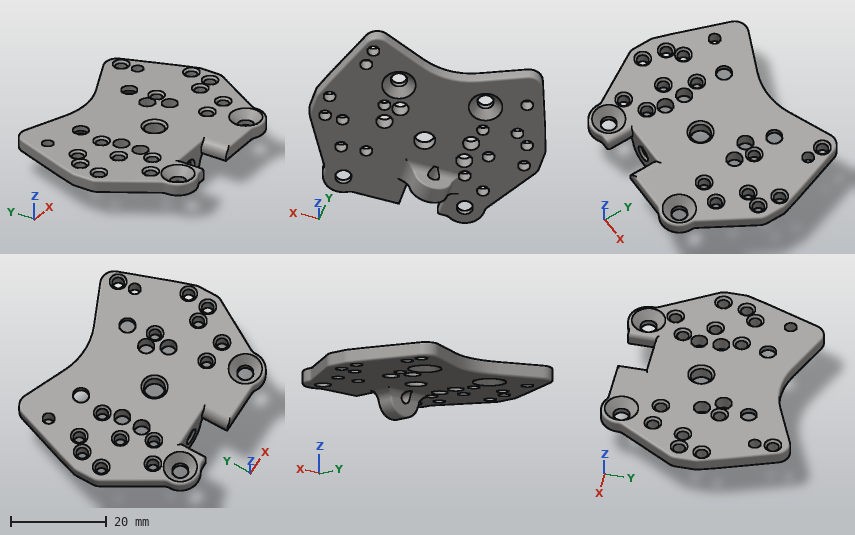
import cadquery as cq
import math


thickness = 3.0
half_width = 25.05
lower_shoulder_y = -0.8
upper_shoulder_y = 4.4
waist = (23.6, 8.8)
horn_tip = (18.3, 23.55)
notch_valley_y = 15.7
front_y = -17.6
shoulder_lower_radius = 3.2
shoulder_upper_radius = 2.5
waist_arc_reach = 0.45
horn_radius = 3.0
notch_radius = 15.05
edge_radius = 0.5

boss_x = 13.3
boss_y = -14.15
boss_radius = 4.3
boss_blend_radius = 2.0
flank_foot_x = 17.15
screw_diameter = 3.4
screw_head_diameter = 7.0

slot_left = -8.3
slot_right = 0.0
slot_back = -11.5
slot_left_radius = 1.0
slot_right_radius = 2.0
slot_back_radius = 0.5

lug_x = -4.3
lug_z = -4.1
lug_radius = 4.15
lug_thickness = 4.0
lug_flare_radius = 2.5
lug_back_blend_radius = 1.6
lug_edge_radius = 0.35
lug_hole_diameter = 2.4
lug_hole_mouth_diameter = 3.55
lug_hole_reach = lug_thickness + lug_back_blend_radius
lug_overlap = 0.5

small_diameter = 2.5
small_mouth_diameter = 3.55
medium_diameter = 3.4
center_diameter = 4.4
center_mouth_diameter = 5.5

small_plain_points = [(-17.6, 15.25), (17.6, 15.25)]
underside_screw_points = [(-9.45, 12.2), (9.45, 12.2)]
medium_points = [(7.3, 6.35), (-9.45, 2.2), (9.45, 2.2), (-9.45, -2.5)]
countersunk_points = [
    (-17.9, 7.6), (-10.8, 6.25), (10.8, 6.25), (-21.75, 0), (-14.0, 0),
    (17.95, 0), (21.75, 0), (-10.8, -6.25), (10.8, -6.25), (16.1, -6.8),
    (17.25, 19.05), (-20.75, 5.2), (22.35, 4.95), (-15.6, -8.85),
]
boss_points = [(-boss_x, boss_y), (boss_x, boss_y)]

tolerance = 0.05
clearance = 0.5
far = 50.15


def step_toward(start, target, distance):
    """Point at a distance from start along the line to target."""
    dx = target[0] - start[0]
    dy = target[1] - start[1]
    share = distance / math.hypot(dx, dy)
    return (start[0] + share * dx, start[1] + share * dy)


def round_upright(body, x, y, radius):
    """Fillet the upright edge nearest to (x, y)."""
    nearest = cq.selectors.NearestToPointSelector((x, y, -thickness / 2))
    return body.edges("|Z").edges(nearest).fillet(radius)


def make_blank():
    """Plate outline with its bosses and rounded upright corners, edges still sharp."""
    upper_shoulder = (half_width, upper_shoulder_y)
    right_half = (
        cq.Workplane("XY")
        .moveTo(0, front_y)
        .lineTo(boss_x, front_y)
        .lineTo(flank_foot_x, boss_y)
        .lineTo(half_width, lower_shoulder_y)
        .lineTo(*upper_shoulder)
        .lineTo(*step_toward(waist, upper_shoulder, waist_arc_reach))
        .tangentArcPoint(step_toward(waist, horn_tip, waist_arc_reach), relative=False)
        .lineTo(*horn_tip)
        .lineTo(0, notch_valley_y)
        .close()
        .extrude(-thickness)
    )
    boss = cq.Workplane("XY").circle(boss_radius).extrude(-thickness).rotate((0, 0, 0), (0, 0, 1), 90)
    right_half = right_half.union(boss.translate((boss_x, boss_y, 0)))

    front_blend_x = boss_x - math.sqrt(boss_radius**2 - (boss_y - front_y) ** 2)
    corners = [
        (half_width, lower_shoulder_y, shoulder_lower_radius),
        (half_width, upper_shoulder_y, shoulder_upper_radius),
        (*horn_tip, horn_radius),
        (boss_x + boss_radius, boss_y, boss_blend_radius),
        (front_blend_x, front_y, boss_blend_radius),
    ]
    for x, y, radius in corners:
        right_half = round_upright(right_half, x, y, radius)
    body = right_half.union(right_half.mirror("YZ"))
    return round_upright(body, 0, notch_valley_y, notch_radius)


def make_slot_cutter():
    """Slot volume that flares outward at the top, leaving rounded upper edges."""
    across = (
        cq.Workplane("XZ")
        .moveTo(slot_left, -thickness - clearance)
        .lineTo(slot_left, -slot_left_radius)
        .radiusArc((slot_left - slot_left_radius, 0), -slot_left_radius)
        .lineTo(slot_left - slot_left_radius, clearance)
        .lineTo(slot_right + slot_right_radius, clearance)
        .lineTo(slot_right + slot_right_radius, 0)
        .radiusArc((slot_right, -slot_right_radius), -slot_right_radius)
        .lineTo(slot_right, -thickness - clearance)
        .close()
        .extrude(far, both=True)
    )
    along = (
        cq.Workplane("YZ")
        .moveTo(front_y - clearance, -thickness - clearance)
        .lineTo(slot_back, -thickness - clearance)
        .lineTo(slot_back, -slot_back_radius)
        .radiusArc((slot_back + slot_back_radius, 0), slot_back_radius)
        .lineTo(slot_back + slot_back_radius, clearance)
        .lineTo(front_y - clearance, clearance)
        .close()
        .extrude(far, both=True)
    )
    return across.intersect(along)


def round_plate_edges(body):
    """Fillet the outline and the slot's left front corner; the slot's upper edges are left as cut."""
    slot_mouth = cq.selectors.BoxSelector(
        (slot_left - slot_left_radius - tolerance, front_y + tolerance, -tolerance),
        (slot_right + slot_right_radius + tolerance, slot_back + slot_back_radius + tolerance, tolerance),
    )
    left_front_corner = cq.selectors.BoxSelector(
        (slot_left - slot_left_radius, front_y - tolerance, -thickness + tolerance),
        (slot_left + tolerance, front_y + tolerance, -tolerance),
    )
    rims = cq.selectors.StringSyntaxSelector("#Z and (>Z or <Z)")
    return body.edges(rims - slot_mouth + left_front_corner).fillet(edge_radius)


def make_lug():
    """Round lug flaring into the plate's underside at both sides and at the back."""
    top_z = lug_overlap - thickness
    blend_reach = lug_radius + lug_flare_radius
    flare_center_z = -thickness - lug_flare_radius
    flare_offset = math.sqrt(blend_reach**2 - (lug_z - flare_center_z) ** 2)
    tangent_x = flare_offset * lug_radius / blend_reach
    tangent_z = lug_z + (flare_center_z - lug_z) * lug_radius / blend_reach
    across = (
        cq.Workplane("XZ")
        .moveTo(lug_x - flare_offset, top_z)
        .lineTo(lug_x - flare_offset, -thickness)
        .radiusArc((lug_x - tangent_x, tangent_z), lug_flare_radius)
        .threePointArc((lug_x, lug_z - lug_radius), (lug_x + tangent_x, tangent_z))
        .radiusArc((lug_x + flare_offset, -thickness), lug_flare_radius)
        .lineTo(lug_x + flare_offset, top_z)
        .close()
        .extrude(far, both=True)
    )
    lug_back = slot_back + lug_thickness
    along = (
        cq.Workplane("YZ")
        .moveTo(slot_back, top_z)
        .lineTo(slot_back, -far)
        .lineTo(lug_back, -far)
        .lineTo(lug_back, -thickness - lug_back_blend_radius)
        .radiusArc((lug_back + lug_back_blend_radius, -thickness), lug_back_blend_radius)
        .lineTo(lug_back + lug_back_blend_radius, top_z)
        .close()
        .extrude(far, both=True)
    )
    lug = across.intersect(along)
    for face_y in (slot_back, lug_back):
        rim = cq.selectors.NearestToPointSelector((lug_x, face_y, lug_z - lug_radius))
        lug = lug.edges(rim).fillet(lug_edge_radius)
    return lug


def drill(body, points, diameter):
    """Straight holes through the plate and anything just below it."""
    bore = cq.Workplane("XY").circle(diameter / 2).extrude(-thickness - clearance)
    for x, y in points:
        body = body.cut(bore.translate((x, y, 0)))
    return body


def countersink(body, points, diameter, mouth_diameter, from_below=False):
    """Straight holes with a 90 degree countersink at the top or the underside."""
    depth = (mouth_diameter - diameter) / 2
    cone = cq.Workplane("XY").circle(mouth_diameter / 2).extrude(-depth, taper=45)
    if from_below:
        cone = cone.mirror("XY").translate((0, 0, -thickness))
    body = drill(body, points, diameter)
    for x, y in points:
        body = body.cut(cone.translate((x, y, 0)))
    return body


def drill_lug(body):
    """Cross hole through the lug, countersunk on its front face."""
    sink_depth = (lug_hole_mouth_diameter - lug_hole_diameter) / 2
    front = cq.Workplane("XZ", origin=(lug_x, slot_back, lug_z))
    hole = front.circle(lug_hole_diameter / 2).extrude(-lug_hole_reach)
    sink = front.circle(lug_hole_mouth_diameter / 2).extrude(-sink_depth, taper=45)
    return body.cut(hole).cut(sink)


slot_cutter = make_slot_cutter()
left_of_slot_wall = cq.Workplane("XY").box(far, far, far).translate((slot_right - far / 2, 0, 0))
plate = make_blank().cut(slot_cutter.intersect(left_of_slot_wall))
plate = round_plate_edges(plate)
plate = plate.cut(slot_cutter)
plate = plate.union(make_lug())
plate = drill_lug(plate)
plate = drill(plate, small_plain_points, small_diameter)
plate = drill(plate, medium_points, medium_diameter)
plate = countersink(plate, [(0, 0)], center_diameter, center_mouth_diameter)
plate = countersink(plate, countersunk_points, small_diameter, small_mouth_diameter)
plate = countersink(plate, underside_screw_points, screw_diameter, screw_head_diameter, from_below=True)
result = countersink(plate, boss_points, screw_diameter, screw_head_diameter)